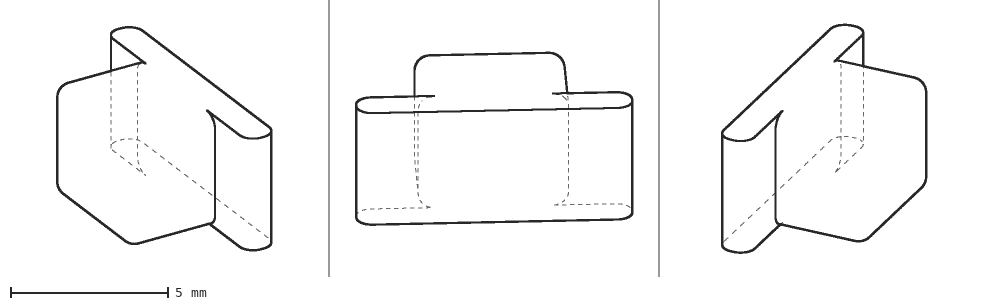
import cadquery as cq

flange_width = 8.8
flange_thickness = 1.1
height = 4.0
total_depth = 4.3
block_width = 4.8
edge_radius = 0.5

block_depth = total_depth - flange_thickness


def make_flange():
    """Plate with its front face on Y = 0 and rounded upright edges."""
    plate = cq.Workplane("XY").box(
        flange_width, flange_thickness, height, centered=(True, False, True)
    )
    return plate.edges("|Z").fillet(edge_radius)


def make_block():
    """Button reaching toward -Y, rounded everywhere but at its back face."""
    block = cq.Workplane("XY").box(
        block_width, block_depth, height, centered=(True, False, True)
    )
    block = block.translate((0, -block_depth, 0))
    return block.edges("|Y or <Y").fillet(edge_radius)


result = make_flange().union(make_block())